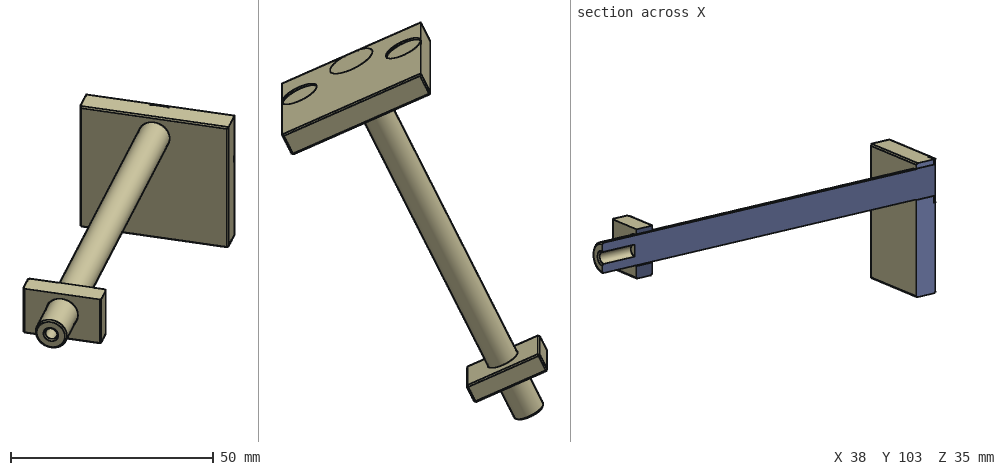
import cadquery as cq

total_length = 103.0
edge_bevel = 0.4

plate_width = 38.0
plate_height = 35.0
plate_thickness = 6.0
axis_below_top = 5.5
side_recess_diameter = 9.5
side_recess_spacing = 28.4
side_recess_below_top = 12.3
back_step_depth = 0.5

rod_diameter = 8.0
rod_length = total_length
rod_head_diameter = 11.6
bore_diameter = 3.0
bore_depth = 10.0

block_width = 20.0
block_height = 13.0
block_thickness = 5.0
block_bore_diameter = 8.2
block_setback = 10.5

rod_front_y = 0.0
plate_front_y = rod_front_y + total_length - plate_thickness
plate_back_y = plate_front_y + plate_thickness
back_step_y = plate_back_y - back_step_depth
block_front_y = rod_front_y + block_setback
top_z = axis_below_top


def cylinder_along_y(diameter, start_y, length, x=0.0, z=0.0):
    """Round bar running toward +Y from start_y."""
    bar = cq.Solid.makeCylinder(diameter / 2, length, cq.Vector(x, start_y, z), cq.Vector(0, 1, 0))
    return cq.Workplane(obj=bar)


def slab_below_top(width, thickness, height, front_y):
    """Rectangular slab centred on X, with its upper face at top_z."""
    slab = cq.Workplane("XY").box(width, thickness, height, centered=(True, False, False))
    return slab.translate((0, front_y, top_z - height))


def make_rod_blank():
    """Rod with a thin head at its back end, the head cut flush with the top of the plate."""
    shank = cylinder_along_y(rod_diameter, rod_front_y, rod_length)
    head = cylinder_along_y(rod_head_diameter, back_step_y, back_step_depth)
    plate_envelope = slab_below_top(plate_width, plate_thickness, plate_height, plate_front_y)
    return shank.union(head.intersect(plate_envelope))


def make_plate():
    plate = slab_below_top(plate_width, plate_thickness, plate_height, plate_front_y)
    plate = plate.edges("<Y or <Z").chamfer(edge_bevel)
    for side in (-1, 1):
        recess_x = side * side_recess_spacing / 2
        recess_z = top_z - side_recess_below_top
        recess = cylinder_along_y(side_recess_diameter, back_step_y, back_step_depth, recess_x, recess_z)
        plate = plate.cut(recess)
    return plate.cut(make_rod_blank())


def make_rod():
    rod = make_rod_blank().faces("<Y").chamfer(edge_bevel)
    rod = rod.cut(cylinder_along_y(bore_diameter, rod_front_y, bore_depth))
    bore_rim = rod.faces("<Y").edges(cq.selectors.RadiusNthSelector(0))
    return bore_rim.chamfer(edge_bevel)


def make_block():
    block = slab_below_top(block_width, block_thickness, block_height, block_front_y)
    block = block.edges("|Z or <Z").chamfer(edge_bevel)
    return block.cut(cylinder_along_y(block_bore_diameter, block_front_y, block_thickness))


plate = make_plate()
rod = make_rod()
block = make_block()

result = cq.Compound.makeCompound([plate.solids().val(), rod.solids().val(), block.solids().val()])